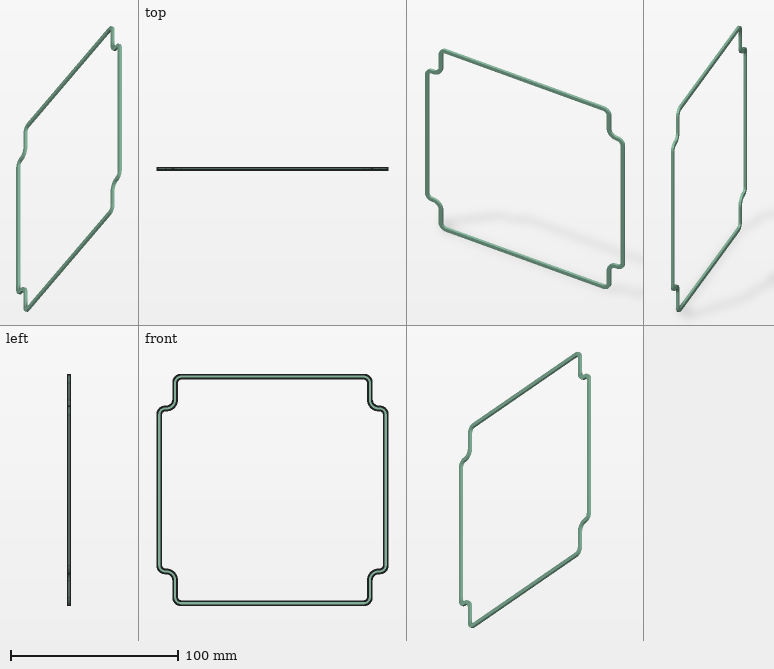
import cadquery as cq

outer_size = 137.9
thickness = 1.5
band_width = 2.5
notch_width = 9.5
notch_height = 19.0
convex_radius = 5.0
concave_radius = 4.0


def cross_plate(inset):
    """Square plate with four notched, rounded corners, its edge moved inward by inset."""
    size = outer_size - 2 * inset
    tall_width = size - 2 * notch_width
    wide_height = size - 2 * notch_height
    tall = cq.Workplane("XZ").rect(tall_width, size).extrude(thickness / 2, both=True)
    wide = cq.Workplane("XZ").rect(size, wide_height).extrude(thickness / 2, both=True)

    inner_corners = cq.selectors.BoxSelector(
        (-tall_width / 2 - band_width / 2, -thickness, -wide_height / 2 - band_width / 2),
        (tall_width / 2 + band_width / 2, thickness, wide_height / 2 + band_width / 2),
    )
    plate = tall.union(wide)
    plate = plate.edges("|Y").edges(inner_corners).fillet(concave_radius + inset)

    for side in ("<X", ">X", "<Z", ">Z"):
        plate = plate.faces(side).edges("|Y").fillet(convex_radius - inset)
    return plate


result = cross_plate(0).cut(cross_plate(band_width))